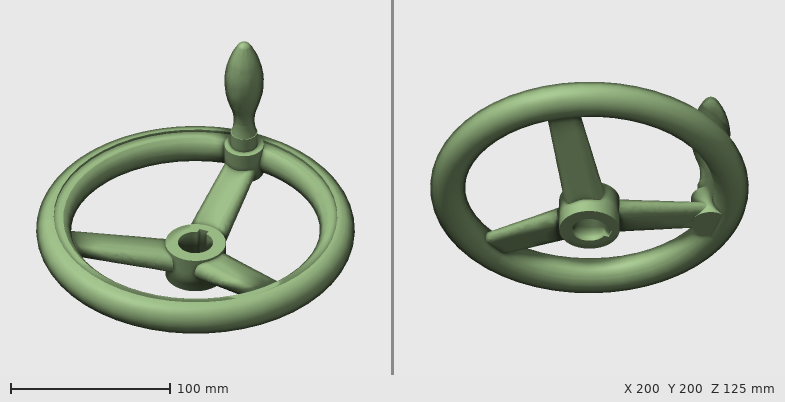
import cadquery as cq
import math

RIM_OUTER_RADIUS = 100.0
RIM_SECTION_RADIUS = 11.0
RIM_CENTRE_RADIUS = RIM_OUTER_RADIUS - RIM_SECTION_RADIUS
RIM_CENTRE_Z = 34.0
RIM_TOP_Z = RIM_CENTRE_Z + RIM_SECTION_RADIUS
STEP_WIDTH = 6.0

HUB_RADIUS = 19.0
HUB_HEIGHT = 24.0
BORE_RADIUS = 11.0
KEYWAY_WIDTH = 6.0
KEYWAY_REACH = 13.8

SPOKE_COUNT = 3
SPOKE_FLAT_WIDTH = 12.8
SPOKE_INNER_RADIUS = 16.0
SPOKE_INNER_Z = 15.2
SPOKE_INNER_THICKNESS = 13.2
SPOKE_OUTER_THICKNESS = 7.2

HANDLE_Y = 80.0
BOSS_RADIUS = 12.5
BOSS_BOTTOM_Z = 24.0

COLLAR_RADIUS = 8.5
COLLAR_TOP_Z = 55.0
NECK_LOWER_RADIUS = 8.0
NECK_RADIUS = 6.5
NECK_Z = 64.5
BELLY_LOWER_RADIUS = 8.8
BELLY_LOWER_Z = 75.8
BELLY_RADIUS = 12.5
BELLY_Z = 95.0
TIP_RADIUS = 4.0
TIP_LOWER_Z = 123.0
TOP_Z = 125.0


def make_rim():
    section_inner = RIM_CENTRE_RADIUS - RIM_SECTION_RADIUS
    step_radius = RIM_CENTRE_RADIUS - STEP_WIDTH
    step_z = RIM_CENTRE_Z + math.sqrt(RIM_SECTION_RADIUS**2 - STEP_WIDTH**2)
    profile = (
        cq.Workplane("XZ")
        .moveTo(RIM_CENTRE_RADIUS, RIM_TOP_Z)
        .threePointArc(
            (RIM_OUTER_RADIUS, RIM_CENTRE_Z),
            (RIM_CENTRE_RADIUS, RIM_CENTRE_Z - RIM_SECTION_RADIUS),
        )
        .threePointArc((section_inner, RIM_CENTRE_Z), (step_radius, step_z))
        .lineTo(RIM_CENTRE_RADIUS, step_z)
        .close()
    )
    return profile.revolve(360, (0, 0, 0), (0, 1, 0))


def make_spoke():
    """One spoke along +Y, from inside the hub wall to the middle of the rim section."""
    length = RIM_CENTRE_RADIUS - SPOKE_INNER_RADIUS
    rise = RIM_CENTRE_Z - SPOKE_INNER_Z
    return (
        cq.Workplane("XZ", origin=(0, SPOKE_INNER_RADIUS, SPOKE_INNER_Z))
        .slot2D(SPOKE_FLAT_WIDTH + SPOKE_INNER_THICKNESS, SPOKE_INNER_THICKNESS)
        .workplane(offset=-length)
        .center(0, rise)
        .slot2D(SPOKE_FLAT_WIDTH + SPOKE_OUTER_THICKNESS, SPOKE_OUTER_THICKNESS)
        .loft(ruled=True)
    )


def arc_radius(depth, reach):
    """Radius of an arc that falls by depth over a distance reach from its tangent point."""
    return (reach**2 + depth**2) / (2 * depth)


def make_handle():
    """The handle, turned in one piece with the boss below it."""
    neck_lower_arc = arc_radius(NECK_LOWER_RADIUS - NECK_RADIUS, NECK_Z - COLLAR_TOP_Z)
    neck_upper_arc = arc_radius(BELLY_LOWER_RADIUS - NECK_RADIUS, BELLY_LOWER_Z - NECK_Z)
    dome_arc = arc_radius(TOP_Z - TIP_LOWER_Z, TIP_RADIUS)
    profile = (
        cq.Workplane("XZ")
        .moveTo(0, BOSS_BOTTOM_Z)
        .lineTo(BOSS_RADIUS, BOSS_BOTTOM_Z)
        .lineTo(BOSS_RADIUS, RIM_TOP_Z)
        .lineTo(COLLAR_RADIUS, RIM_TOP_Z)
        .lineTo(COLLAR_RADIUS, COLLAR_TOP_Z)
        .lineTo(NECK_LOWER_RADIUS, COLLAR_TOP_Z)
        .radiusArc((NECK_RADIUS, NECK_Z), neck_lower_arc)
        .radiusArc((BELLY_LOWER_RADIUS, BELLY_LOWER_Z), neck_upper_arc)
        .threePointArc((BELLY_RADIUS, BELLY_Z), (TIP_RADIUS, TIP_LOWER_Z))
        .radiusArc((0, TOP_Z), -dome_arc)
        .close()
    )
    return profile.revolve(360, (0, 0, 0), (0, 1, 0)).translate((0, HANDLE_Y, 0))


def make_bore():
    bore = cq.Workplane("XY").circle(BORE_RADIUS).extrude(HUB_HEIGHT)
    keyway = (
        cq.Workplane("XY")
        .center(0, KEYWAY_REACH / 2)
        .rect(KEYWAY_WIDTH, KEYWAY_REACH)
        .extrude(HUB_HEIGHT)
    )
    return bore.union(keyway)


wheel = make_rim().union(cq.Workplane("XY").circle(HUB_RADIUS).extrude(HUB_HEIGHT))
for index in range(SPOKE_COUNT):
    angle = index * 360 / SPOKE_COUNT
    wheel = wheel.union(make_spoke().rotate((0, 0, 0), (0, 0, 1), angle))

result = wheel.union(make_handle()).cut(make_bore())